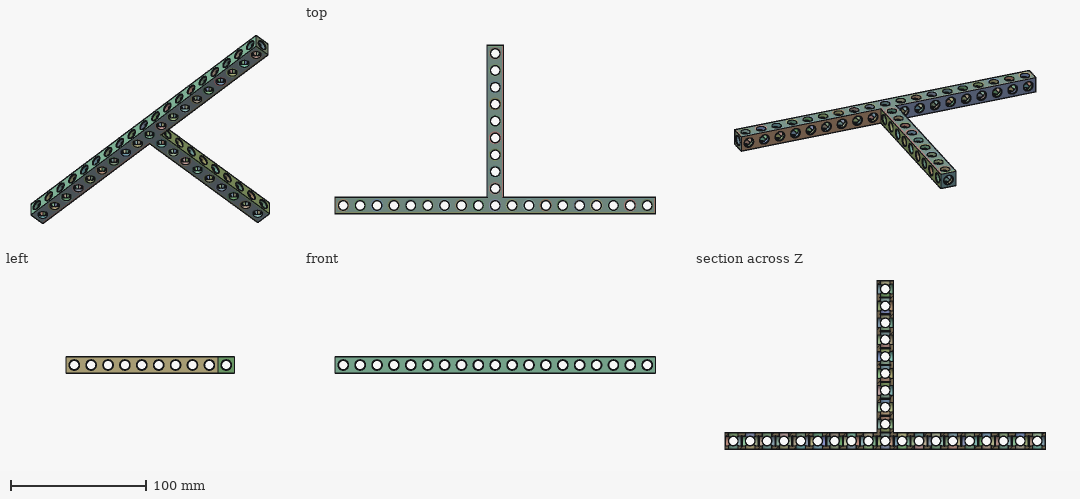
import cadquery as cq
long_cells = 19
arm_cells = 10
length = 237.5
pitch = length / long_cells
half = pitch / 2

bore_diameter = 7.0
side_mouth_diameter = 7.8
top_mouth_diameter = 9.3
side_widening = (side_mouth_diameter - bore_diameter) / 2
top_widening = (top_mouth_diameter - bore_diameter) / 2

bevel_height = 0.2
outer_bevel_height = 0.12

corner_x = 0.12
corner_y = 0.5

top_levels = [
    (top_widening, half),
    (side_widening, half - outer_bevel_height),
    (0, half - bevel_height),
]
side_levels = [
    (side_widening, half),
    (0, half - side_widening),
]


def mirrored(levels):
    """Height-ordered levels for a shape that is symmetric about its mid-plane."""
    lower = [(offset, -height) for offset, height in levels]
    upper = [(offset, height) for offset, height in reversed(levels)]
    return lower + upper


def tee_outline(inset, z):
    """T outline moved inwards by the inset, with bevelled outer corners."""
    bar_x = length / 2 - inset
    bar_front = -half + inset
    bar_back = half - inset
    arm_x = half - inset
    arm_end = (arm_cells - 0.5) * pitch - inset
    right = [
        (bar_x - corner_x, bar_front),
        (bar_x, bar_front + corner_y),
        (bar_x, bar_back - corner_y),
        (bar_x - corner_x, bar_back),
        (arm_x, bar_back),
        (arm_x, arm_end - corner_y),
        (arm_x - corner_x, arm_end),
    ]
    left = [(-x, y) for x, y in reversed(right)]
    points = [cq.Vector(x, y, z) for x, y in right + left]
    return cq.Wire.makePolygon(points, close=True)


def tee_body():
    """Solid T with bevelled top and bottom edges."""
    outlines = [tee_outline(inset, z) for inset, z in mirrored(top_levels)]
    return cq.Workplane(cq.Solid.makeLoft(outlines, True))


def bore_cutter(levels):
    """Vertical bore through one cell, widened at both mouths."""
    wall = [(bore_diameter / 2 + widening, z) for widening, z in mirrored(levels)]
    profile = [(0, -half)] + wall + [(0, half)]
    return cq.Workplane("XZ").polyline(profile).close().revolve(360, (0, 0), (0, 1))


def cell_cutter():
    """The three crossing bores of one cell."""
    origin = (0, 0, 0)
    side_bore = bore_cutter(side_levels)
    along_x = side_bore.rotate(origin, (0, 1, 0), 90)
    along_y = side_bore.rotate(origin, (1, 0, 0), 90)
    return bore_cutter(top_levels).union(along_x).union(along_y)


middle_cell = long_cells // 2
bar_centres = [((i - middle_cell) * pitch, 0, 0) for i in range(long_cells)]
arm_centres = [(0, j * pitch, 0) for j in range(1, arm_cells)]

result = tee_body()
cutter = cell_cutter()
for centre in bar_centres + arm_centres:
    result = result.cut(cutter.translate(centre), clean=False)